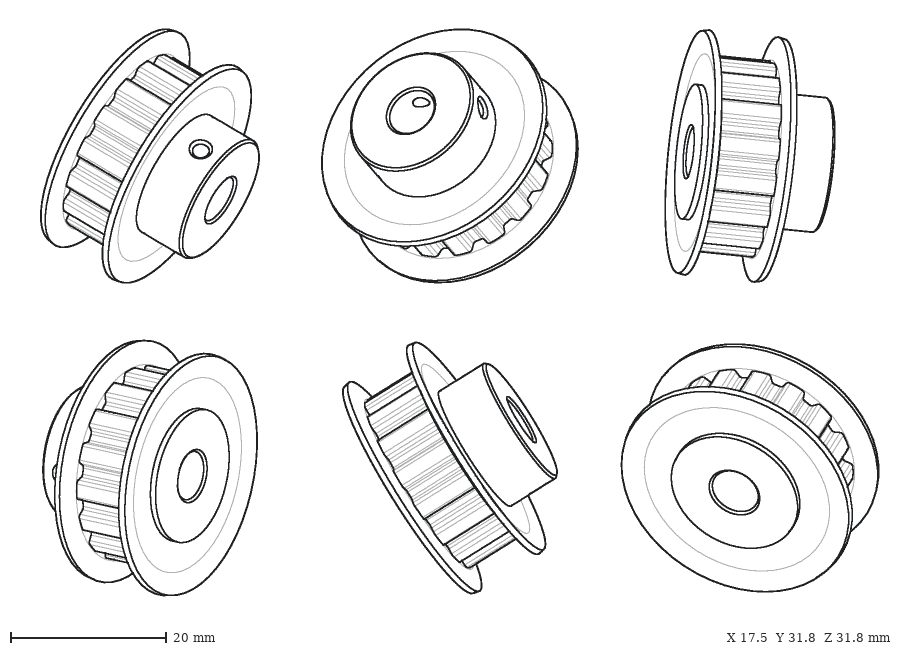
import cadquery as cq
import math

total_length = 17.5
hub_radius = 8.73
hub_chamfer = 0.32
bore_radius = 3.18
bore_chamfer = 0.32

tooth_count = 16
tooth_radius = 12.7
groove_depth = 1.27
groove_floor_width = 1.33
groove_flank_angle = 25.0
groove_root_fillet = 0.4
tooth_tip_fillet = 0.48
rim_start = 1.65
rim_length = 7.87
rim_end = rim_start + rim_length

flange_radius = 15.88
flange_bend_radius = 12.9
flange_thickness = 0.85
flange_angle = math.radians(11.4)

screw_position = 14.32
screw_hole_radius = 1.08
screw_chamfer = 0.4


def make_hub():
    """Plain cylinder running the full length, chamfered at its far end."""
    hub = cq.Workplane("YZ").circle(hub_radius).extrude(total_length)
    return hub.faces(">X").edges().chamfer(hub_chamfer)


def make_toothed_rim():
    """Ring of trapezoidal teeth with rounded tips and roots."""
    pitch_angle = 360 / tooth_count
    floor_radius = tooth_radius - groove_depth
    cutter_top = tooth_radius + groove_depth
    floor_half = groove_floor_width / 2
    flank_spread = (cutter_top - floor_radius) * math.tan(math.radians(groove_flank_angle))
    top_half = floor_half + flank_spread
    cutter = (
        cq.Workplane("YZ")
        .workplane(offset=rim_start)
        .polyline([
            (-floor_half, floor_radius),
            (floor_half, floor_radius),
            (top_half, cutter_top),
            (-top_half, cutter_top),
        ])
        .close()
        .extrude(rim_length)
        .edges("|X and <Z")
        .fillet(groove_root_fillet)
    )
    rim = cq.Workplane("YZ").workplane(offset=rim_start).circle(tooth_radius).extrude(rim_length)
    for index in range(tooth_count):
        angle = (index + 0.5) * pitch_angle
        rim = rim.cut(cutter.rotate((0, 0, 0), (1, 0, 0), angle))
    groove_mid_radius = tooth_radius - groove_depth / 2
    tip_edges = [
        edge for edge in rim.edges("|X").vals()
        if math.hypot(edge.Center().y, edge.Center().z) > groove_mid_radius
    ]
    return rim.newObject(tip_edges).fillet(tooth_tip_fillet)


def make_flange(inner_face, outward):
    """Dished disc; outward is -1 or +1, the X direction away from the teeth."""
    dish_depth = (flange_radius - flange_bend_radius) * math.tan(flange_angle)
    edge_width = flange_thickness * math.cos(flange_angle)
    edge_drop = flange_thickness * math.sin(flange_angle)
    outer_bend_radius = flange_bend_radius - flange_thickness * math.tan(flange_angle / 2)
    inner_tip = inner_face + outward * dish_depth
    outer_tip = inner_tip + outward * edge_width
    outer_face = inner_face + outward * flange_thickness
    return (
        cq.Workplane("XY")
        .polyline([
            (inner_face, 0),
            (inner_face, flange_bend_radius),
            (inner_tip, flange_radius),
            (outer_tip, flange_radius - edge_drop),
            (outer_face, outer_bend_radius),
            (outer_face, 0),
        ])
        .close()
        .revolve(360, (0, 0, 0), (1, 0, 0))
    )


def make_bore():
    """Through bore with a chamfer at both ends."""
    mouth_radius = bore_radius + bore_chamfer
    return (
        cq.Workplane("XY")
        .polyline([
            (0, 0),
            (0, mouth_radius),
            (bore_chamfer, bore_radius),
            (total_length - bore_chamfer, bore_radius),
            (total_length, mouth_radius),
            (total_length, 0),
        ])
        .close()
        .revolve(360, (0, 0, 0), (1, 0, 0))
    )


def add_screw_hole(body, direction):
    """Cut a radial hole from the axis through the hub wall and chamfer its mouth."""
    start = cq.Vector(screw_position, 0, 0)
    drill_length = hub_radius + screw_hole_radius
    hole = cq.Solid.makeCylinder(screw_hole_radius, drill_length, start, direction)
    body = body.cut(cq.Workplane(obj=hole))
    mouth_centre = start + direction * hub_radius
    mouth_edge = cq.selectors.NearestToPointSelector(mouth_centre.toTuple())
    return body.edges(mouth_edge).chamfer(screw_chamfer)


pulley = make_hub().union(make_toothed_rim())
pulley = pulley.union(make_flange(rim_start, -1))
pulley = pulley.union(make_flange(rim_end, 1))
pulley = pulley.cut(make_bore())
for screw_direction in (cq.Vector(0, 0, 1), cq.Vector(0, 1, 0)):
    pulley = add_screw_hole(pulley, screw_direction)

result = pulley